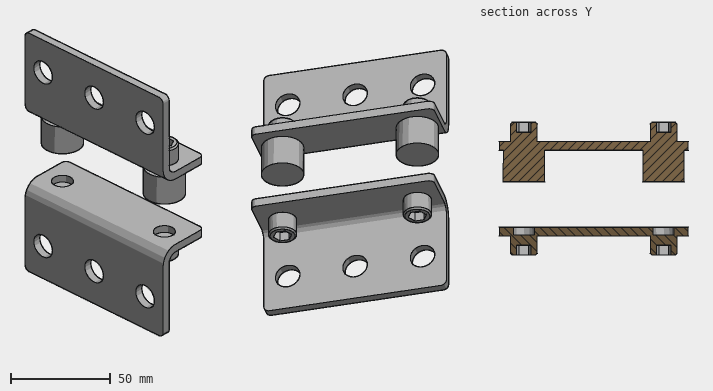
import cadquery as cq

total_height = 140.7
bracket_length = 95.0
bracket_depth = 30.0
bracket_height = 51.0

thickness = 4.5
bend_inner_radius = 4.5
bend_outer_radius = bend_inner_radius + thickness
corner_radius = 3.0

hole_diameter = 12.7
hole_pitch = 35.0
hole_edge_distance = 19.1
hole_positions = [-hole_pitch, 0, hole_pitch]

post_positions = [-hole_pitch, hole_pitch]
post_y = 14.2
head_diameter = 14.2
head_height = 9.5
head_chamfer = 0.8
socket_width = 8.2
socket_depth = 4.9
hexagon_sides = 6
post_diameter = 21.4
post_height = 15.9
pin_hole_diameter = 11.0
pin_hole_depth = 4.0


def bent_plate():
    """L-shaped sheet: the ledge lies on Z = 0 and the flange rises from Y = 0."""
    plate = (
        cq.Workplane("YZ")
        .moveTo(0, 0)
        .lineTo(bracket_depth, 0)
        .lineTo(bracket_depth, thickness)
        .lineTo(thickness, thickness)
        .lineTo(thickness, bracket_height)
        .lineTo(0, bracket_height)
        .close()
        .extrude(bracket_length / 2, both=True)
    )
    outer_bend = cq.selectors.NearestToPointSelector((0, 0, 0))
    inner_bend = cq.selectors.NearestToPointSelector((0, thickness, thickness))
    plate = plate.edges("|X").edges(outer_bend).fillet(bend_outer_radius)
    plate = plate.edges("|X").edges(inner_bend).fillet(bend_inner_radius)
    plate = plate.faces(">Z").edges("|Y").fillet(corner_radius)
    plate = plate.faces(">Y").edges("|Z").fillet(corner_radius)
    hole_z = bracket_height - hole_edge_distance
    holes = (
        cq.Workplane("XZ")
        .pushPoints([(x, hole_z) for x in hole_positions])
        .circle(hole_diameter / 2)
        .extrude(-thickness)
    )
    return plate.cut(holes)


def screw_head(x):
    """Chamfered round head on top of the ledge, with a hexagon socket."""
    head = (
        cq.Workplane("XY", origin=(x, post_y, thickness))
        .circle(head_diameter / 2)
        .extrude(head_height)
        .faces(">Z")
        .chamfer(head_chamfer)
    )
    socket = (
        cq.Workplane("XY", origin=(x, post_y, thickness + head_height))
        .transformed(rotate=(0, 0, 90))
        .polygon(hexagon_sides, socket_width, circumscribed=True)
        .extrude(-socket_depth)
    )
    return head.cut(socket)


def post(x):
    """Round post hanging below the ledge."""
    return (
        cq.Workplane("XY", origin=(x, post_y, 0))
        .circle(post_diameter / 2)
        .extrude(-post_height)
    )


def pin_hole(x):
    """Blind round hole in the ledge face opposite the screw head."""
    return (
        cq.Workplane("XY", origin=(x, post_y, 0))
        .circle(pin_hole_diameter / 2)
        .extrude(pin_hole_depth)
    )


def build_upper_bracket():
    """Bracket with screw heads above the ledge and posts below it."""
    bracket = bent_plate()
    for x in post_positions:
        bracket = bracket.union(screw_head(x)).union(post(x))
    return bracket.translate((0, 0, total_height - bracket_height))


def build_lower_bracket():
    """Inverted bracket with screw heads below the ledge and blind pin holes from above."""
    bracket = bent_plate()
    for x in post_positions:
        bracket = bracket.union(screw_head(x)).cut(pin_hole(x))
    return bracket.mirror("XY").translate((0, 0, bracket_height))


upper_bracket = build_upper_bracket()
lower_bracket = build_lower_bracket()

result = cq.Compound.makeCompound([upper_bracket.val(), lower_bracket.val()])